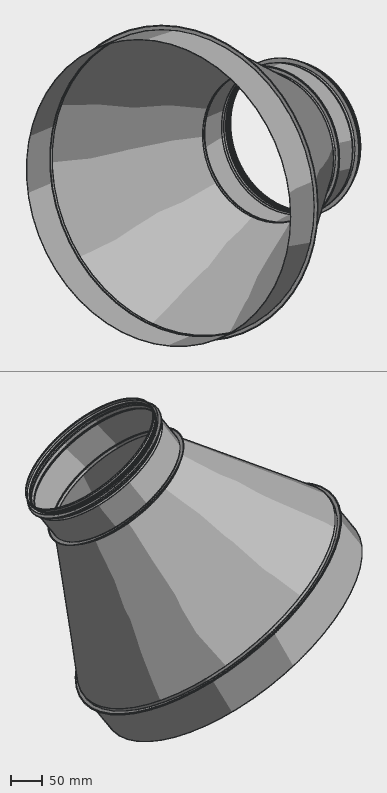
import cadquery as cq


sheet = 0.5
collar_flange_sheet = 1.3
cone_flange_sheet = 0.75

wide_radius = 501.5 / 2
wide_flange_radius = 515.5 / 2
narrow_radius = 249.0 / 2
narrow_flange_radius = 263 / 2
flange_setback = 1.3

total_length = 399.0
wide_joint = 69.0
narrow_joint = 324.5
cone_stub = 5.5

groove_depth = 2.3
groove_start = 374.0
groove_end = 393.5
shoulder_length = 2.5

rim_radius = 247.5 / 2
rim_length = 2.0

seal_sheet = 0.5
seal_clearance = 1.0
main_lip_radius = 259.5 / 2
main_lip_place = 383.0
main_lip_thickness = 2.0
front_lip_radius = 254.0 / 2
front_lip_place = 387.5
front_lip_thickness = 1.0
front_lip_lean = 1.5


def turned(profile):
    """Turn a closed outline of (radius, y) points about the Y axis."""
    outline = cq.Workplane("XY").polyline(profile).close()
    return outline.revolve(360, (0, 0, 0), (0, 1, 0))


def make_wide_collar():
    flange_bottom = wide_joint - collar_flange_sheet
    return turned([
        (wide_radius - sheet, 0),
        (wide_radius, 0),
        (wide_radius, flange_bottom),
        (wide_flange_radius, flange_bottom),
        (wide_flange_radius, wide_joint),
        (wide_radius - sheet, wide_joint),
    ])


def make_cone():
    wide_flange = wide_flange_radius - flange_setback
    narrow_flange = narrow_flange_radius - flange_setback
    wide_kink = wide_joint + cone_stub
    narrow_kink = narrow_joint - cone_stub
    return turned([
        (wide_radius - sheet, wide_joint),
        (wide_flange, wide_joint),
        (wide_flange, wide_joint + cone_flange_sheet),
        (wide_radius, wide_joint + cone_flange_sheet),
        (wide_radius, wide_kink),
        (narrow_radius, narrow_kink),
        (narrow_radius, narrow_joint - cone_flange_sheet),
        (narrow_flange, narrow_joint - cone_flange_sheet),
        (narrow_flange, narrow_joint),
        (narrow_radius - sheet, narrow_joint),
        (narrow_radius - sheet, narrow_kink),
        (wide_radius - sheet, wide_kink),
    ])


groove_radius = narrow_radius - groove_depth
floor_start = groove_start + shoulder_length
floor_end = groove_end - shoulder_length


def make_narrow_collar():
    inner_radius = narrow_radius - sheet
    rim_start = total_length - rim_length
    flange_top = narrow_joint + collar_flange_sheet
    return turned([
        (inner_radius, narrow_joint),
        (narrow_flange_radius, narrow_joint),
        (narrow_flange_radius, flange_top),
        (narrow_radius, flange_top),
        (narrow_radius, groove_start),
        (groove_radius, floor_start),
        (groove_radius, floor_end),
        (narrow_radius, groove_end),
        (narrow_radius, rim_start),
        (rim_radius, total_length),
        (rim_radius - sheet, total_length),
        (inner_radius, rim_start),
        (inner_radius, groove_end),
        (groove_radius - sheet, floor_end),
        (groove_radius - sheet, floor_start),
        (inner_radius, groove_start),
    ])


def make_seal():
    band_start = floor_start + seal_clearance
    band_end = floor_end - seal_clearance
    band_radius = groove_radius + seal_sheet
    main_lip_end = main_lip_place + main_lip_thickness
    front_lip_end = front_lip_place + front_lip_thickness
    return turned([
        (groove_radius, band_start),
        (band_radius, band_start),
        (band_radius, main_lip_place),
        (main_lip_radius, main_lip_place),
        (main_lip_radius, main_lip_end),
        (band_radius, main_lip_end),
        (band_radius, front_lip_place),
        (front_lip_radius, front_lip_place + front_lip_lean),
        (front_lip_radius, front_lip_end + front_lip_lean),
        (band_radius, front_lip_end),
        (band_radius, band_end),
        (groove_radius, band_end),
    ])


wide_collar = make_wide_collar()
cone = make_cone()
narrow_collar = make_narrow_collar()
seal = make_seal()

result = cq.Compound.makeCompound([
    wide_collar.val(),
    cone.val(),
    narrow_collar.val(),
    seal.val(),
])